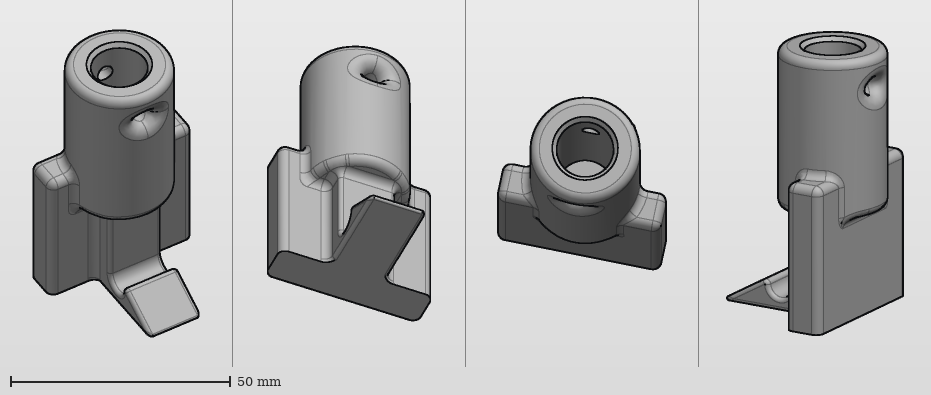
import cadquery as cq
import math

HEIGHT = 63.0
SOCKET_RADIUS = 25.0 / 2
SOCKET_BOTTOM = 25.0
BORE_RADIUS = 13.0 / 2
BORE_FLOOR = 29.0
BORE_CHAMFER = 1.0

STEP_HOLE_RADIUS = 6.5 / 2
STEP_HOLE_FLOOR = 16.4

PIN_HOLE_RADIUS = 4.0 / 2
PIN_HOLE_HEIGHT = 55.0
PIN_HOLE_FLARE = 3.0

BLADE_WIDTH = 38.0
BLADE_BACK = -8.0
BLADE_FRONT = 1.0
BLADE_TOP = 35.0

CLAW_WIDTH = 14.0
ARM_FRONT = 7.0
NOTCH_RADIUS = 6.0 / 2
NOTCH_HEIGHT = 6.0
WEDGE_SHARP_TIP = 25.95
WEDGE_ANGLE = math.radians(30)

BODY_FILLET = 2.0
WEDGE_PEAK_FILLET = 1.1
CLAW_SIDE_FILLET = 1.0
WEDGE_TIP_FILLET = 0.5

FOOT_ALLOWANCE = 3 * BODY_FILLET

PICK_TOLERANCE = 0.03


def make_socket():
    socket = cq.Workplane("XY").circle(SOCKET_RADIUS).extrude(HEIGHT - SOCKET_BOTTOM)
    return socket.translate((0, 0, SOCKET_BOTTOM))


def make_blade():
    blade = cq.Workplane("XY").box(
        BLADE_FRONT - BLADE_BACK, BLADE_WIDTH, BLADE_TOP + FOOT_ALLOWANCE, centered=(False, True, False)
    )
    blade = blade.translate((BLADE_BACK, 0, -FOOT_ALLOWANCE))
    return blade.edges("|Z or >Z").fillet(BODY_FILLET)


def make_claw():
    root_x = (BLADE_BACK + BLADE_FRONT) / 2
    top_z = SOCKET_BOTTOM + 2 * BODY_FILLET
    notch_x = ARM_FRONT + NOTCH_RADIUS
    peak_x = notch_x + NOTCH_RADIUS
    peak_z = (WEDGE_SHARP_TIP - peak_x) * math.tan(WEDGE_ANGLE)
    claw = (
        cq.Workplane("XZ")
        .moveTo(root_x, 0)
        .lineTo(WEDGE_SHARP_TIP, 0)
        .lineTo(peak_x, peak_z)
        .lineTo(peak_x, NOTCH_HEIGHT)
        .threePointArc((notch_x, NOTCH_HEIGHT - NOTCH_RADIUS), (ARM_FRONT, NOTCH_HEIGHT))
        .lineTo(ARM_FRONT, top_z)
        .lineTo(root_x, top_z)
        .close()
        .extrude(CLAW_WIDTH / 2, both=True)
    )
    wedge_tip = cq.NearestToPointSelector((WEDGE_SHARP_TIP, 0, 0))
    claw = claw.edges(wedge_tip).fillet(WEDGE_TIP_FILLET)
    wedge_peak = cq.NearestToPointSelector((peak_x, 0, peak_z))
    claw = claw.edges(wedge_peak).fillet(WEDGE_PEAK_FILLET)
    return claw.faces("<Y or >Y").edges().fillet(CLAW_SIDE_FILLET)


def edges_inside(x_range, half_width, z_range):
    """Selector for the edges that lie wholly inside a box centred on Y = 0."""
    low = (x_range[0] - PICK_TOLERANCE, -half_width - PICK_TOLERANCE, z_range[0] - PICK_TOLERANCE)
    high = (x_range[1] + PICK_TOLERANCE, half_width + PICK_TOLERANCE, z_range[1] + PICK_TOLERANCE)
    return cq.selectors.BoxSelector(low, high, boundingbox=True)


def socket_surface_edges(body, z_low, z_high):
    """Edges that follow the outer surface of the socket between two heights."""

    def on_surface(edge):
        points = [edge.positionAt(t) for t in (0, 0.3, 0.7, 1)]
        return all(
            abs(math.hypot(p.x, p.y) - SOCKET_RADIUS) < PICK_TOLERANCE
            and z_low - PICK_TOLERANCE < p.z < z_high + PICK_TOLERANCE
            for p in points
        )

    return [edge for edge in body.edges().vals() if on_surface(edge)]


def round_underside(body):
    """Fillet the claw, the blade and the socket underside into each other."""
    blade_corner = edges_inside((BLADE_FRONT, BLADE_FRONT), SOCKET_RADIUS, (0, SOCKET_BOTTOM))
    neck = edges_inside((BLADE_FRONT, ARM_FRONT), CLAW_WIDTH / 2, (SOCKET_BOTTOM, SOCKET_BOTTOM))
    behind = edges_inside((BLADE_BACK, BLADE_BACK), SOCKET_RADIUS, (SOCKET_BOTTOM, SOCKET_BOTTOM))
    return body.edges(blade_corner + neck + behind).fillet(BODY_FILLET)


def round_socket_seam(body):
    """Fillet the socket's lower rim and the seam between socket and blade."""
    seam = socket_surface_edges(body, SOCKET_BOTTOM, BLADE_TOP)
    return body.newObject(seam).fillet(BODY_FILLET)


def trim_foot(body):
    allowance = cq.Workplane("XY").rect(2 * WEDGE_SHARP_TIP, 2 * BLADE_WIDTH).extrude(-2 * FOOT_ALLOWANCE)
    return body.cut(allowance)


def round_top_rim(body):
    return body.edges(">Z").fillet(BODY_FILLET)


def cut_bore(body):
    bore = cq.Workplane("XY", origin=(0, 0, HEIGHT)).circle(BORE_RADIUS).extrude(BORE_FLOOR - HEIGHT)
    step_x = STEP_HOLE_RADIUS - BORE_RADIUS
    step = cq.Workplane("XY", origin=(step_x, 0, BORE_FLOOR)).circle(STEP_HOLE_RADIUS)
    step = step.extrude(STEP_HOLE_FLOOR - BORE_FLOOR)
    mouth = cq.selectors.RadiusNthSelector(0)
    return body.cut(bore).cut(step).faces(">Z").edges(mouth).chamfer(BORE_CHAMFER)


def cut_pin_hole(body):
    pin = cq.Workplane("YZ").center(0, PIN_HOLE_HEIGHT).circle(PIN_HOLE_RADIUS)
    body = body.cut(pin.extrude(2 * SOCKET_RADIUS, both=True))
    mouths = socket_surface_edges(
        body, PIN_HOLE_HEIGHT - PIN_HOLE_RADIUS, PIN_HOLE_HEIGHT + PIN_HOLE_RADIUS
    )
    return body.newObject(mouths).fillet(PIN_HOLE_FLARE)


body = make_socket().union(make_blade()).union(make_claw())
body = round_underside(body)
body = round_socket_seam(body)
body = trim_foot(body)
body = round_top_rim(body)
body = cut_bore(body)
result = cut_pin_hole(body)